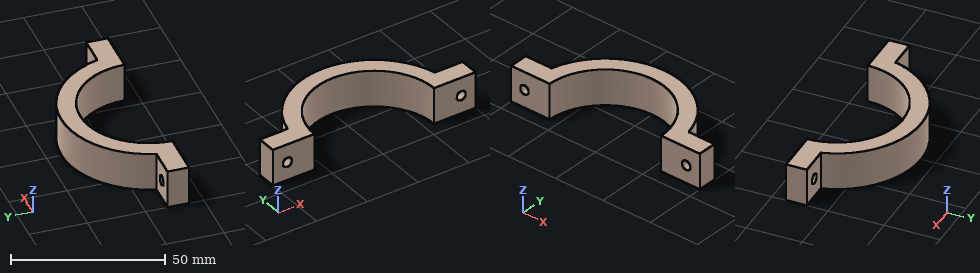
import cadquery as cq

length = 80.0
width = 14.0
outer_radius = 30.0
inner_radius = 23.5
ear_thickness = 7.5
hole_diameter = 3.5
hole_spacing = 68.5


def half_disc(radius):
    """Half cylinder on the +Y side of the split face."""
    return (
        cq.Workplane("XY")
        .moveTo(radius, 0)
        .threePointArc((0, radius), (-radius, 0))
        .close()
        .extrude(width)
    )


ears = cq.Workplane("XY").box(length, ear_thickness, width, centered=(True, False, False))
clamp = half_disc(outer_radius).union(ears).cut(half_disc(inner_radius))

screw_holes = (
    cq.Workplane("XZ")
    .pushPoints([(side * hole_spacing / 2, width / 2) for side in (-1, 1)])
    .circle(hole_diameter / 2)
    .extrude(-ear_thickness)
)

result = clamp.cut(screw_holes)